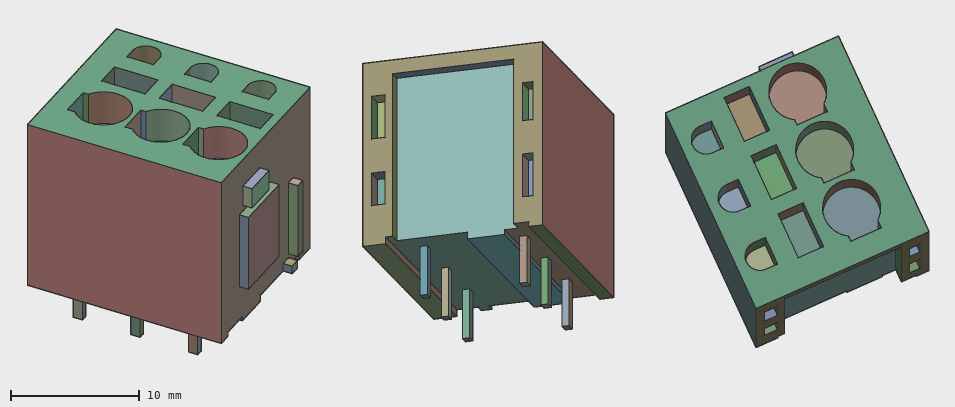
import cadquery as cq


HOUSING_WIDTH = 17.05
HOUSING_DEPTH = 14.8
HOUSING_HEIGHT = 15.2

POLE_COUNT = 3
POLE_PITCH = 5.07

OPENING_DEPTH = 3.0
WIRE_HOLE_DIAMETER = 4.5
WIRE_HOLE_X = 4.2
WIRE_HOLE_Y = 4.71
KEYWAY_LEFT_X = 1.81
KEYWAY_WIDTH = 2.6
KEYWAY_Y = 4.56
WINDOW_LENGTH = 3.81
WINDOW_WIDTH = 2.15
WINDOW_X = 4.23
WINDOW_Y = 9.05
TEST_HOLE_WIDTH = 2.32
TEST_HOLE_LENGTH = 2.13
TEST_HOLE_X = 3.68
TEST_HOLE_FRONT_Y = 11.8

RECESS_DEPTH = 1.07
RECESS_FRONT_Y = 2.37
RECESS_REAR_Y = 12.35
RECESS_TOP_Z = 14.05

SLOT_DEPTH = 1.5
REAR_SLOT_Y = (12.95, 14.08)
FRONT_SLOT_Y = (0.8, 1.66)
SLOTS = [
    (*REAR_SLOT_Y, 8.85, 12.38),
    (*REAR_SLOT_Y, 3.31, 6.0),
    (*FRONT_SLOT_Y, 8.85, 11.99),
    (*FRONT_SLOT_Y, 2.52, 6.08),
]

REAR_CHANNEL_Y = (6.55, 12.9)
REAR_CHANNEL_HEIGHT = 0.56
FRONT_CHANNEL_Y = (1.15, 3.52)
FRONT_CHANNEL_HEIGHT = 0.4

PAD_PROJECTION = 0.8
TALL_PAD_PROJECTION = 0.85
PADS = [
    (3.59, 6.43, 10.88, 12.7, PAD_PROJECTION),
    (3.01, 8.1, 3.55, 10.35, PAD_PROJECTION),
    (11.16, 11.97, 1.66, 8.38, TALL_PAD_PROJECTION),
    (10.28, 11.16, REAR_CHANNEL_HEIGHT, 1.29, PAD_PROJECTION),
]

PIN_TIP_Z = -3.5
PIN_THICKNESS = 0.6
FRONT_PIN_WIDTH = 0.82
PIN_X = 3.24
FRONT_PIN_Y = 2.56
REAR_PIN_WIDTH = 0.75
REAR_PIN_Y = 10.75


def box_between(x0, x1, y0, y1, z0, z1):
    """Box spanning the given limits on each axis."""
    return cq.Workplane("XY").box(x1 - x0, y1 - y0, z1 - z0, centered=False).translate((x0, y0, z0))


def wire_hole(offset_x):
    """Round wire entry with a rectangular keyway on its left side."""
    center_x = WIRE_HOLE_X + offset_x
    keyway_length = WIRE_HOLE_X - KEYWAY_LEFT_X
    floor = cq.Workplane("XY", origin=(0, 0, HOUSING_HEIGHT - OPENING_DEPTH))
    bore = floor.center(center_x, WIRE_HOLE_Y).circle(WIRE_HOLE_DIAMETER / 2).extrude(OPENING_DEPTH)
    keyway = (
        floor.center(center_x - keyway_length / 2, KEYWAY_Y)
        .rect(keyway_length, KEYWAY_WIDTH)
        .extrude(OPENING_DEPTH)
    )
    return bore.union(keyway)


def window(offset_x):
    """Rectangular opening behind the wire entry."""
    return (
        cq.Workplane("XY", origin=(0, 0, HOUSING_HEIGHT - OPENING_DEPTH))
        .center(WINDOW_X + offset_x, WINDOW_Y)
        .rect(WINDOW_LENGTH, WINDOW_WIDTH)
        .extrude(OPENING_DEPTH)
    )


def test_hole(offset_x):
    """Opening with a flat front and a semicircular rear."""
    radius = TEST_HOLE_WIDTH / 2
    side_length = TEST_HOLE_LENGTH - radius
    return (
        cq.Workplane("XY", origin=(0, 0, HOUSING_HEIGHT - OPENING_DEPTH))
        .center(TEST_HOLE_X + offset_x, TEST_HOLE_FRONT_Y)
        .moveTo(-radius, 0)
        .lineTo(radius, 0)
        .lineTo(radius, side_length)
        .threePointArc((0, TEST_HOLE_LENGTH), (-radius, side_length))
        .close()
        .extrude(OPENING_DEPTH)
    )


def make_housing():
    body = box_between(0, HOUSING_WIDTH, 0, HOUSING_DEPTH, 0, HOUSING_HEIGHT)

    for front_y, rear_y, bottom_z, top_z, projection in PADS:
        pad_end_x = HOUSING_WIDTH + projection
        body = body.union(box_between(HOUSING_WIDTH, pad_end_x, front_y, rear_y, bottom_z, top_z))

    body = body.cut(box_between(0, RECESS_DEPTH, RECESS_FRONT_Y, RECESS_REAR_Y, 0, RECESS_TOP_Z))
    for front_y, rear_y, bottom_z, top_z in SLOTS:
        body = body.cut(box_between(0, SLOT_DEPTH, front_y, rear_y, bottom_z, top_z))

    body = body.cut(box_between(0, HOUSING_WIDTH, *REAR_CHANNEL_Y, 0, REAR_CHANNEL_HEIGHT))
    body = body.cut(box_between(0, HOUSING_WIDTH, *FRONT_CHANNEL_Y, 0, FRONT_CHANNEL_HEIGHT))

    for pole in range(POLE_COUNT):
        offset_x = pole * POLE_PITCH
        for opening in (wire_hole, window, test_hole):
            body = body.cut(opening(offset_x))
    return body


def make_pin(center_x, center_y, width, top_z):
    """Straight rectangular pin reaching down from a channel ceiling."""
    return (
        cq.Workplane("XY", origin=(center_x, center_y, PIN_TIP_Z))
        .rect(width, PIN_THICKNESS)
        .extrude(top_z - PIN_TIP_Z)
    )


housing = make_housing()

pins = []
for pole in range(POLE_COUNT):
    pin_x = PIN_X + pole * POLE_PITCH
    pins.append(make_pin(pin_x, FRONT_PIN_Y, FRONT_PIN_WIDTH, FRONT_CHANNEL_HEIGHT))
    pins.append(make_pin(pin_x, REAR_PIN_Y, REAR_PIN_WIDTH, REAR_CHANNEL_HEIGHT))

result = cq.Compound.makeCompound([housing.val(), *[pin.val() for pin in pins]])